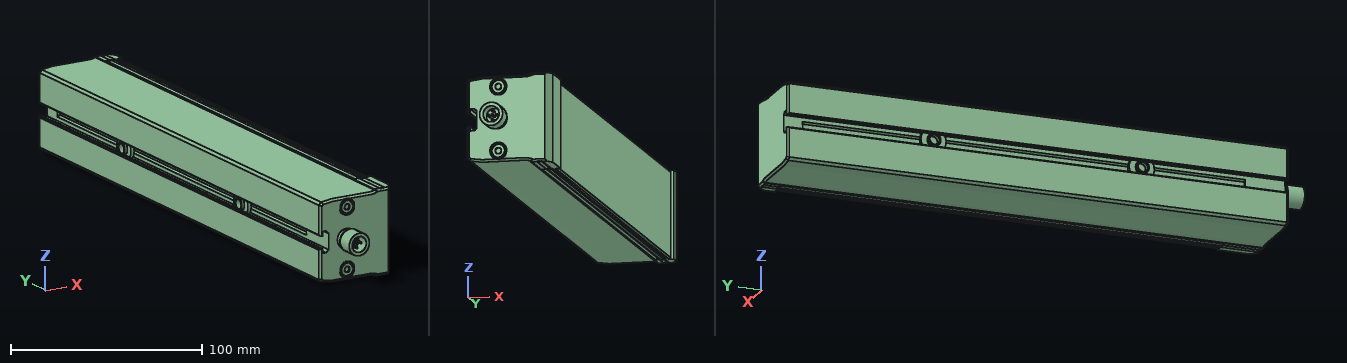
import cadquery as cq
import math

DEPTH = 45.0
BODY_LENGTH = 282.0
TOTAL_LENGTH = 295.0
HEIGHT = 47.5
FLANGE_HALF_HEIGHT = HEIGHT / 2
WALL_HALF_HEIGHT = 22.7
BACK_HALF_HEIGHT = 20.5
BACK_CORNER_X = 1.5
BACK_CORNER_HALF_HEIGHT = 21.8
TAPER_END_X = 8.0
FLANGE_RAMP_START_X = 31.0
FLANGE_STEP_X = 34.2
FLANGE_STEP_HALF_HEIGHT = 23.3
END_CHAMFER = 1.2

HOOD_RISE = 1.8
NEAR_HOOD_LENGTH = 22.5
FAR_HOOD_LENGTH = 10.5
HOOD_CHAMFER_X = 3.2
HOOD_CHAMFER_Y = 4.7
FACE_X = DEPTH - HOOD_RISE
MIDDLE_LENGTH = BODY_LENGTH - NEAR_HOOD_LENGTH - FAR_HOOD_LENGTH

END_PLATE = 1.5
HOOD_GROOVE_X = 39.0
HOOD_GROOVE_WIDTH = 3.0
REAR_GROOVE_X = 36.5
REAR_GROOVE_WIDTH = 3.0
FRONT_GROOVE_X = 40.5
FRONT_GROOVE_WIDTH = 1.0
GROOVE_DEPTH = 1.0
FACE_BEVEL = 1.0

SLOT_MOUTH_WIDTH = 7.0
SLOT_MOUTH_CHAMFER = 0.5
SLOT_LIP = 1.8
SLOT_WIDTH = 11.8
SLOT_DEPTH = 5.3
SLOT_CORNER = 1.5
FLOOR_GROOVE_TOP_WIDTH = 4.5
FLOOR_GROOVE_WIDTH = 2.7
FLOOR_GROOVE_DEPTH = 1.5

CONNECTOR_X = 16.2
SCREW_X = 16.8
SCREW_OFFSET_Z = 17.0
SCREW_RECESS_DIAMETER = 8.9
SCREW_HEAD_DIAMETER = 7.0
SCREW_SOCKET_DIAMETER = 3.2
SCREW_RECESS_DEPTH = 1.0
CONNECTOR_LENGTH = TOTAL_LENGTH - BODY_LENGTH
NECK_DIAMETER = 11.0
NECK_LENGTH = 3.0
TIP_DIAMETER = 12.5
TIP_CHAMFER = 0.5
BORE_DIAMETER = 8.5
BORE_DEPTH = 7.5
PIN_DIAMETER = 1.0
PIN_LENGTH = 5.3
PIN_CIRCLE_RADIUS = 2.5
OUTER_PIN_COUNT = 4

NUT_DIAMETER = 14.2
NUT_THICKNESS = 2.0
NUT_NECK_DIAMETER = 7.0
NUT_NECK_LENGTH = 1.5
NUT_BORE_DIAMETER = 5.3
NUT_BORE_DEPTH = 3.0
NUT_POSITIONS_Y = (82.0, 199.2)


def along_y(x, y_start, z, diameter, length):
    """Cylinder running in +Y from y_start."""
    plane = cq.Workplane("XZ", origin=(x, y_start, z))
    return plane.circle(diameter / 2).extrude(-length)


def along_x(x_start, y, diameter, length):
    """Cylinder on the slot mid-plane running in +X from x_start."""
    return cq.Workplane("YZ", origin=(x_start, y, 0)).circle(diameter / 2).extrude(length)


def extrude_mirrored_outline(upper_points, y_start, length):
    """Prism along Y from the upper half of an X-Z outline."""
    lower_points = [(x, -z) for x, z in reversed(upper_points)]
    plane = cq.Workplane("XZ", origin=(0, y_start, 0))
    return plane.polyline(upper_points + lower_points).close().extrude(-length)


def make_shell():
    """Tapered outer profile with bevelled ends and the two front hoods."""
    upper_half = (
        cq.Workplane("XZ")
        .lineTo(0, BACK_HALF_HEIGHT)
        .lineTo(BACK_CORNER_X, BACK_CORNER_HALF_HEIGHT)
        .lineTo(TAPER_END_X, WALL_HALF_HEIGHT)
        .lineTo(FLANGE_RAMP_START_X, WALL_HALF_HEIGHT)
        .tangentArcPoint((FLANGE_STEP_X, FLANGE_STEP_HALF_HEIGHT), relative=False)
        .lineTo(FLANGE_STEP_X, FLANGE_HALF_HEIGHT)
        .lineTo(DEPTH, FLANGE_HALF_HEIGHT)
        .lineTo(DEPTH, 0)
        .close()
        .extrude(-BODY_LENGTH)
    )
    shell = upper_half.union(upper_half.mirror("XY")).clean()
    shell = shell.faces("<Y or >Y").chamfer(END_CHAMFER)
    chamfer_start_x = DEPTH - HOOD_CHAMFER_X
    side_outline = [
        (0, 0),
        (chamfer_start_x, 0),
        (DEPTH, HOOD_CHAMFER_Y),
        (DEPTH, NEAR_HOOD_LENGTH),
        (FACE_X, NEAR_HOOD_LENGTH),
        (FACE_X, BODY_LENGTH - FAR_HOOD_LENGTH),
        (DEPTH, BODY_LENGTH - FAR_HOOD_LENGTH),
        (DEPTH, BODY_LENGTH - HOOD_CHAMFER_Y),
        (chamfer_start_x, BODY_LENGTH),
        (0, BODY_LENGTH),
    ]
    envelope = cq.Workplane("XY").polyline(side_outline).close().extrude(FLANGE_HALF_HEIGHT, both=True)
    return shell.intersect(envelope)


def cut_flange_grooves(body):
    """V-grooves on the hoods and between them, and the bevelled front edge between the hoods."""
    far_hood_start = NEAR_HOOD_LENGTH + MIDDLE_LENGTH
    grooves = (
        (HOOD_GROOVE_X, HOOD_GROOVE_WIDTH, END_PLATE, NEAR_HOOD_LENGTH - END_PLATE),
        (HOOD_GROOVE_X, HOOD_GROOVE_WIDTH, far_hood_start, FAR_HOOD_LENGTH - END_PLATE),
        (REAR_GROOVE_X, REAR_GROOVE_WIDTH, NEAR_HOOD_LENGTH, MIDDLE_LENGTH),
        (FRONT_GROOVE_X, FRONT_GROOVE_WIDTH, NEAR_HOOD_LENGTH, MIDDLE_LENGTH),
        (FACE_X, 2 * FACE_BEVEL, NEAR_HOOD_LENGTH, MIDDLE_LENGTH),
    )
    for x_centre, width, y_start, length in grooves:
        upper_groove = (
            cq.Workplane("XZ", origin=(x_centre, y_start, FLANGE_HALF_HEIGHT))
            .polyline([(-width / 2, 0), (width / 2, 0), (0, -GROOVE_DEPTH)])
            .close()
            .extrude(-length)
        )
        body = body.cut(upper_groove).cut(upper_groove.mirror("XY"))
    return body


def cut_t_slot(body):
    """Full-length T-slot with a tapered floor groove between the hoods."""
    mouth_half = SLOT_MOUTH_WIDTH / 2
    slot_half = SLOT_WIDTH / 2
    slot = extrude_mirrored_outline([
        (0, mouth_half + SLOT_MOUTH_CHAMFER),
        (SLOT_MOUTH_CHAMFER, mouth_half),
        (SLOT_LIP, mouth_half),
        (SLOT_LIP, slot_half),
        (SLOT_DEPTH - SLOT_CORNER, slot_half),
        (SLOT_DEPTH, slot_half - SLOT_CORNER),
    ], 0, BODY_LENGTH)
    groove = extrude_mirrored_outline([
        (SLOT_DEPTH, FLOOR_GROOVE_TOP_WIDTH / 2),
        (SLOT_DEPTH + FLOOR_GROOVE_DEPTH, FLOOR_GROOVE_WIDTH / 2),
    ], NEAR_HOOD_LENGTH, MIDDLE_LENGTH)
    return body.cut(slot).cut(groove)


def cut_end_screw(body, z):
    """Ring around a flush screw head, and the round socket in the head."""
    ring = along_y(SCREW_X, 0, z, SCREW_RECESS_DIAMETER, SCREW_RECESS_DEPTH)
    ring = ring.cut(along_y(SCREW_X, 0, z, SCREW_HEAD_DIAMETER, SCREW_RECESS_DEPTH))
    socket = along_y(SCREW_X, 0, z, SCREW_SOCKET_DIAMETER, SCREW_RECESS_DEPTH)
    return body.cut(ring).cut(socket)


def make_connector():
    """Round plug with a neck, a hollow tip and contact pins."""
    tip_length = CONNECTOR_LENGTH - NECK_LENGTH
    neck = along_y(CONNECTOR_X, -NECK_LENGTH, 0, NECK_DIAMETER, NECK_LENGTH)
    tip = along_y(CONNECTOR_X, -CONNECTOR_LENGTH, 0, TIP_DIAMETER, tip_length)
    tip = tip.faces(">Y").chamfer(TIP_CHAMFER)
    bore = along_y(CONNECTOR_X, -CONNECTOR_LENGTH, 0, BORE_DIAMETER, BORE_DEPTH)
    connector = neck.union(tip).cut(bore)
    pin_centres = [(0, 0)]
    for index in range(OUTER_PIN_COUNT):
        angle = 2 * math.pi * index / OUTER_PIN_COUNT
        pin_centres.append((PIN_CIRCLE_RADIUS * math.cos(angle), PIN_CIRCLE_RADIUS * math.sin(angle)))
    bore_floor_y = BORE_DEPTH - CONNECTOR_LENGTH
    for dx, z in pin_centres:
        pin = along_y(CONNECTOR_X + dx, bore_floor_y - PIN_LENGTH, z, PIN_DIAMETER, PIN_LENGTH)
        connector = connector.union(pin)
    return connector


def make_housing():
    body = cut_t_slot(cut_flange_grooves(make_shell()))
    for side in (1, -1):
        body = cut_end_screw(body, side * SCREW_OFFSET_Z)
    return body.union(make_connector())


def make_slot_nut(y):
    """Disc with two flats, a neck in the slot mouth, a boss on the slot floor and a blind bore."""
    neck_x = SLOT_LIP - NUT_NECK_LENGTH
    boss_length = SLOT_DEPTH - SLOT_LIP
    disc = along_x(SLOT_LIP, y, NUT_DIAMETER, NUT_THICKNESS)
    flats = cq.Workplane("YZ", origin=(SLOT_LIP, y, 0)).rect(NUT_DIAMETER, SLOT_WIDTH).extrude(NUT_THICKNESS)
    nut = disc.intersect(flats)
    nut = nut.union(along_x(neck_x, y, NUT_NECK_DIAMETER, NUT_NECK_LENGTH + boss_length))
    return nut.cut(along_x(neck_x, y, NUT_BORE_DIAMETER, NUT_BORE_DEPTH))


housing = make_housing()
slot_nuts = [make_slot_nut(y) for y in NUT_POSITIONS_Y]
result = cq.Compound.makeCompound([housing.val(), *[nut.val() for nut in slot_nuts]])